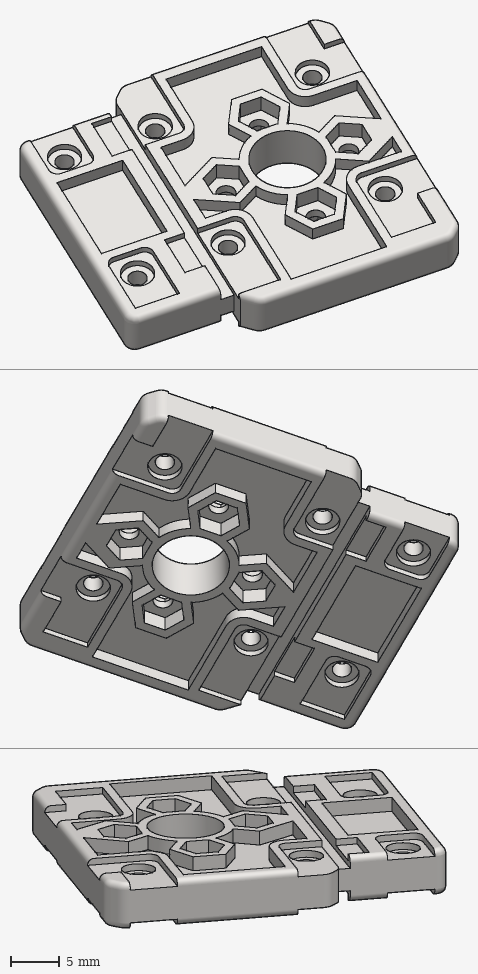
import cadquery as cq
import math


thickness = 5.0
main_width = 34.0
main_length = 25.0
main_chamfer = 1.5
main_blend = 1.5
web_length = 1.5
web_thickness = 2.45
small_width = 27.9
small_length = 10.47
small_corner_radius = 1.22
rim_round = 0.7

screw_x_center = -1.5
screw_y_center = -1.25
screw_x_pitch = 18.0
screw_y_pitch = 17.9
small_row_pitch = 10.32
screw_diameter = 2.0
counterbore_diameter = 3.55
counterbore_depth = 0.75
seat_size = 5.05
seat_radius = 1.0
seat_depth = 0.7
upper_seat_right = 14.45
lower_seat_right = 15.02
small_seat_right = 12.4
slot_length = 2.25

recess_depth = 1.5
rib = 1.0
side_wall = 1.55
end_wall = 1.35
small_recess_top_wall = 1.5
small_recess_length = 7.47

bore_diameter = 8.0
bore_wall = 1.0
nut_circle_radius = 7.0
nut_flats = 4.1
nut_depth = 2.0
nut_hole_diameter = 2.07
nut_wall = 0.95
upper_pad_extension = 0.63

top_z = thickness / 2
main_right = main_width / 2
main_top = main_length / 2
main_bottom = -main_top
small_top = main_bottom - web_length
small_bottom = small_top - small_length
screw_left = screw_x_center - screw_x_pitch / 2
screw_right = screw_x_center + screw_x_pitch / 2
screw_upper = screw_y_center + screw_y_pitch / 2
screw_lower = screw_y_center - screw_y_pitch / 2
screw_small = screw_lower - small_row_pitch
half_seat = seat_size / 2
seat_inner_left = screw_left + half_seat
seat_inner_right = screw_right - half_seat
screw_points = [(x, y) for x in (screw_left, screw_right) for y in (screw_upper, screw_lower, screw_small)]
open_margin = 1.85


def block(x0, x1, y0, y1, z0, z1):
    """Box between two opposite corners."""
    return cq.Workplane("XY").box(x1 - x0, y1 - y0, z1 - z0, centered=False).translate((x0, y0, z0))


def recess(x0, x1, y0, y1, depth):
    """Rectangular cutter sunk into the upper face."""
    return block(x0, x1, y0, y1, top_z - depth, top_z)


def hexagon(center, flats, first_angle):
    """Corner points of a regular hexagon."""
    radius = flats / math.sqrt(3)
    angles = [math.radians(first_angle + 60 * i) for i in range(6)]
    return [(center[0] + radius * math.cos(a), center[1] + radius * math.sin(a)) for a in angles]


def main_outline(blended_corners):
    """Square-rimmed main plate with 45 degree corners, some of their edges blended."""
    plate = cq.Workplane("XY").box(main_width, main_length, thickness)
    return plate.edges("|Z").chamfer(main_chamfer).edges("|Z").edges(blended_corners).fillet(main_blend)


def main_plate():
    plate = main_outline("not <Y")
    plate = plate.faces("|Z").edges("not <Y").fillet(rim_round)
    sharp_corner = cq.selectors.NearestToPointSelector((main_right - main_chamfer, main_bottom, 0))
    all_corners = cq.selectors.StringSyntaxSelector("|Z")
    return plate.intersect(main_outline(cq.selectors.SubtractSelector(all_corners, sharp_corner)))


def small_plate():
    plate = block(-small_width / 2, small_width / 2, small_bottom, small_top, -top_z, top_z)
    plate = plate.edges("|Z and <Y").fillet(small_corner_radius)
    return plate.faces("|Z").edges("not >Y").fillet(rim_round)


def web():
    return block(
        -small_width / 2, small_width / 2, small_top, main_bottom, -web_thickness / 2, web_thickness / 2
    )


def seats():
    """Shallow recesses around the screws; those on the left run out through the edge."""
    left = -main_right - open_margin
    upper_end = main_top + open_margin
    upper = (screw_upper - half_seat, screw_upper + half_seat)
    lower = (main_bottom - web_length / 2, screw_lower + half_seat)
    small = (screw_small - half_seat, screw_small + half_seat)
    left_inner_corner = cq.selectors.NearestToPointSelector((seat_inner_left, upper[0], top_z))
    right_inner_corner = cq.selectors.NearestToPointSelector((seat_inner_right, upper[0], top_z))

    upper_left = recess(left, seat_inner_left, *upper, seat_depth).union(
        recess(seat_inner_left - seat_size, seat_inner_left, upper[0], upper_end, seat_depth)
    )
    upper_right = recess(seat_inner_right, upper_seat_right, *upper, seat_depth).union(
        recess(seat_inner_right, seat_inner_right + seat_size, upper[0], upper_end, seat_depth)
    )
    cutters = upper_left.edges("|Z").edges(left_inner_corner).fillet(seat_radius)
    cutters = cutters.union(upper_right.edges("|Z").edges(right_inner_corner).fillet(seat_radius))

    lower_left = recess(left, seat_inner_left, *lower, seat_depth)
    cutters = cutters.union(lower_left.edges("|Z and >X and >Y").fillet(seat_radius))
    lower_right = recess(seat_inner_right, lower_seat_right, *lower, seat_depth)
    cutters = cutters.union(lower_right.edges("|Z and <X and >Y").fillet(seat_radius))

    small_left = recess(left, seat_inner_left, *small, seat_depth)
    cutters = cutters.union(small_left.edges("|Z and >X").fillet(seat_radius))
    small_right = recess(seat_inner_right, small_seat_right, *small, seat_depth)
    cutters = cutters.union(small_right.edges("|Z and <X").fillet(seat_radius))
    for x in (screw_left, screw_right):
        slot = recess(x - half_seat, x + half_seat, small_top - slot_length, small_top, seat_depth)
        cutters = cutters.union(slot)
    return cutters


def counterbores():
    floor = top_z - seat_depth - counterbore_depth
    return (
        cq.Workplane("XY").workplane(offset=floor).pushPoints(screw_points)
        .circle(counterbore_diameter / 2).extrude(counterbore_depth)
    )


def nut_centers():
    """Nut positions around the bore, each with the angle of its first hexagon corner."""
    r = nut_circle_radius
    return [((r, 0), 30), ((0, r), 0), ((-r, 0), 30), ((0, -r), 0)]


def tapered_pad(side, extension):
    """Pad above (side 1) or below (side -1) the bore: a hexagon narrowing on to the end wall."""
    half_width = (nut_flats / 2 + nut_wall) * 2 / math.sqrt(3)
    slope_angle = math.radians(60)
    slope = math.tan(slope_angle)
    center_y = nut_circle_radius
    rise = main_top - center_y
    lift = extension * math.sin(slope_angle)
    shift = extension * math.cos(slope_angle)
    start_y = center_y / 2
    start_inset = (center_y - start_y) / slope
    points = [
        (-half_width, center_y),
        (-half_width + rise / slope, main_top),
        (half_width + shift - (rise - lift) / slope, main_top),
        (half_width + shift, center_y + lift),
        (half_width - start_inset, start_y),
        (-half_width + start_inset, start_y),
    ]
    return cq.Workplane("XY").polyline([(x, side * y) for x, y in points]).close().extrude(top_z)


def cross_recess():
    """Deep cross-shaped recess, leaving the bore wall and the four nut pads standing."""
    x0 = seat_inner_left + rib
    x1 = seat_inner_right - rib
    y0 = screw_lower + half_seat + rib
    y1 = screw_upper - half_seat - rib
    reach_x = main_right - side_wall
    reach_y = main_top - end_wall
    cross = recess(x0, x1, -reach_y, reach_y, recess_depth)
    cross = cross.union(recess(-reach_x, reach_x, y0, y1, recess_depth))
    for x in (x0, x1):
        for y in (y0, y1):
            corner = cq.selectors.NearestToPointSelector((x, y, top_z - recess_depth / 2))
            cross = cross.edges("|Z").edges(corner).fillet(seat_radius + rib)

    standing = cq.Workplane("XY").circle(bore_diameter / 2 + bore_wall).extrude(top_z)
    for center, angle in nut_centers():
        outline = hexagon(center, nut_flats + 2 * nut_wall, angle)
        standing = standing.union(cq.Workplane("XY").polyline(outline).close().extrude(top_z))
    standing = standing.union(tapered_pad(1, upper_pad_extension)).union(tapered_pad(-1, 0))
    return cross.cut(standing)


def small_recess():
    upper = small_top - small_recess_top_wall
    return recess(
        seat_inner_left + rib, seat_inner_right - rib, upper - small_recess_length, upper, recess_depth
    )


def nut_pockets():
    base = cq.Workplane("XY").workplane(offset=top_z - nut_depth)
    cutters = cq.Workplane("XY")
    for center, angle in nut_centers():
        cutters = cutters.union(base.polyline(hexagon(center, nut_flats, angle)).close().extrude(nut_depth))
    return cutters


def through_holes():
    base = cq.Workplane("XY").workplane(offset=-top_z)
    holes = base.circle(bore_diameter / 2).extrude(thickness)
    holes = holes.union(base.pushPoints(screw_points).circle(screw_diameter / 2).extrude(thickness))
    nut_points = [center for center, _ in nut_centers()]
    return holes.union(base.pushPoints(nut_points).circle(nut_hole_diameter / 2).extrude(thickness))


result = main_plate().union(small_plate()).union(web())
for cutter in (seats(), counterbores(), cross_recess(), small_recess(), nut_pockets()):
    result = result.cut(cutter).cut(cutter.mirror("XY"))
result = result.cut(through_holes())